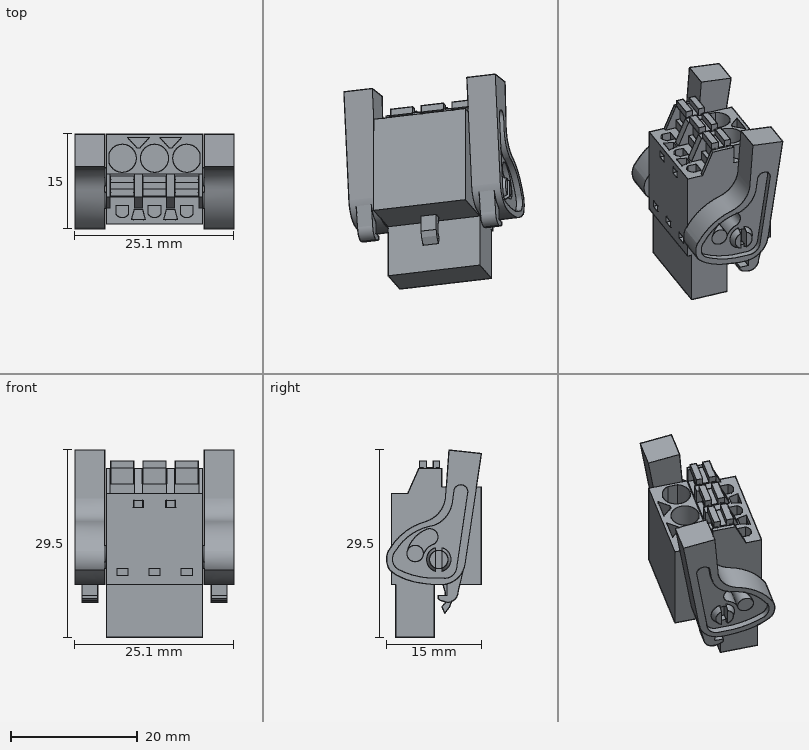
import cadquery as cq
import math


poles = 3
pitch = 5.08
overall_width = 25.05
housing_width = 15.17

housing_depth = 14.2
housing_bottom = 8.3
rear_top = 23.7
front_top = 22.67
ridge_top = 26.6
ridge_rear = 6.25
ridge_front = 9.9
ridge_foot = 11.63
plug_rear = 7.45
plug_front = 13.52

slot_width = 3.8
button_width = 3.65
slot_floor = 24.15
stem_rear = 7.15
stem_front = 9.18
button_rear = 6.58
button_front = 9.77
button_head_bottom = 26.7
button_top = 27.78
groove_rear = 7.62
groove_front = 8.65
groove_depth = 1.03

screw_hole_radius = 2.2
screw_hole_y = -3.8
screw_hole_wall = 0.45
screw_hole_depth = 8.85
triangle_rear = 0.55
triangle_tip = 2.15
triangle_half_width = 1.7
triangle_tip_half_width = 0.25
triangle_depth = 2.95
wire_half_width = 1.0
wire_rear = 11.22
wire_straight_end = 12.58
wire_front = 13.17
wire_depth = 8.85
port_rear = 11.9
port_front = 13.45
port_rear_half_width = 0.68
port_front_half_width = 1.1

port_window_width = 1.55
port_window_bottom = 20.45
port_window_top = 21.58
pole_window_width = 1.75
pole_window_bottom = 9.75
pole_window_top = 10.8
pole_window_depth = 1.0

lever_width = 4.72
recess_depth = 1.0
hook_width = 2.5
pivot_y = -6.73
pivot_z = 12.25
pivot_radius = 1.45
pivot_head_radius = 1.92
pivot_slot_width = 1.0
pivot_slot_depth = 2.0
peg_y = -10.45
peg_z = 13.2
peg_radius = 1.3
swivel_angle = 54.0
latch_width = 2.5

half_housing = housing_width / 2
lever_outer = overall_width / 2
lever_inner = lever_outer - lever_width
recess_floor = lever_outer - recess_depth
lever_middle = (lever_outer + lever_inner) / 2
pole_places = [(i - (poles - 1) / 2) * pitch for i in range(poles)]
gap_places = [(i - (poles - 2) / 2) * pitch for i in range(poles - 1)]


def box(x_range, y_range, z_range):
    """Block between the given limits."""
    x0, x1 = x_range
    y0, y1 = y_range
    z0, z1 = z_range
    return cq.Workplane("XY").box(x1 - x0, y1 - y0, z1 - z0, centered=False).translate((x0, y0, z0))


def centred_box(x, width, rear, front, bottom, top):
    """Block centred on x, between two depths from the rear face."""
    return box((x - width / 2, x + width / 2), (-front, -rear), (bottom, top))


def side_plane(x):
    """Sketch plane across X whose sketch axes are Y and Z."""
    return cq.Workplane("YZ", origin=(x, 0, 0))


def mirrored(shape):
    return shape.mirror("YZ")



def housing_block():
    profile = [
        (0, housing_bottom),
        (0, rear_top),
        (-ridge_rear, rear_top),
        (-ridge_rear, ridge_top),
        (-ridge_front, ridge_top),
        (-ridge_foot, front_top),
        (-housing_depth, front_top),
        (-housing_depth, housing_bottom),
        (-plug_front, housing_bottom),
        (-plug_front, 0),
        (-plug_rear, 0),
        (-plug_rear, housing_bottom),
    ]
    return side_plane(-half_housing).polyline(profile).close().extrude(housing_width)


def button_slot(x):
    """Notch across the raised ridge, with a step down to the front deck before it."""
    across_ridge = centred_box(x, slot_width, ridge_rear, ridge_front, slot_floor, ridge_top)
    before_ridge = centred_box(x, slot_width, ridge_front, ridge_foot, front_top, ridge_top)
    return across_ridge.union(before_ridge)


def screw_hole(x):
    """Round well, cut flat where it would come too close to the housing side."""
    bottom = rear_top - screw_hole_depth
    well = (
        cq.Workplane("XY", origin=(x, screw_hole_y, bottom))
        .circle(screw_hole_radius)
        .extrude(screw_hole_depth)
    )
    inside_width = housing_width - 2 * screw_hole_wall
    return well.intersect(centred_box(0, inside_width, 0, ridge_rear, bottom, rear_top))


def triangle_pocket(x):
    return (
        cq.Workplane("XY", origin=(x, 0, rear_top - triangle_depth))
        .moveTo(-triangle_half_width, -triangle_rear)
        .lineTo(triangle_half_width, -triangle_rear)
        .lineTo(triangle_tip_half_width, -triangle_tip)
        .lineTo(-triangle_tip_half_width, -triangle_tip)
        .close()
        .extrude(triangle_depth)
    )


def wire_opening(x):
    """Wire entry with a straight rear and a rounded front."""
    return (
        cq.Workplane("XY", origin=(x, 0, front_top - wire_depth))
        .moveTo(-wire_half_width, -wire_straight_end)
        .lineTo(-wire_half_width, -wire_rear)
        .lineTo(wire_half_width, -wire_rear)
        .lineTo(wire_half_width, -wire_straight_end)
        .threePointArc((0, -wire_front), (-wire_half_width, -wire_straight_end))
        .close()
        .extrude(wire_depth)
    )


def test_port(x):
    """Tapered well and the front window that opens into its lower end."""
    well = (
        cq.Workplane("XY", origin=(x, 0, port_window_bottom))
        .moveTo(-port_rear_half_width, -port_rear)
        .lineTo(port_rear_half_width, -port_rear)
        .lineTo(port_front_half_width, -port_front)
        .lineTo(-port_front_half_width, -port_front)
        .close()
        .extrude(front_top - port_window_bottom)
    )
    window = centred_box(
        x, port_window_width, port_front, housing_depth, port_window_bottom, port_window_top
    )
    return well.union(window)


def pole_window(x):
    rear = housing_depth - pole_window_depth
    return centred_box(x, pole_window_width, rear, housing_depth, pole_window_bottom, pole_window_top)


def pivot():
    """Slotted snap pivot on the -X side; its conical head ends flush with the lever."""
    shaft = (
        side_plane(-recess_floor)
        .center(pivot_y, pivot_z)
        .circle(pivot_radius)
        .extrude(recess_floor - half_housing)
    )
    head = (
        side_plane(-lever_outer)
        .center(pivot_y, pivot_z)
        .circle(pivot_radius)
        .workplane(offset=recess_depth)
        .circle(pivot_head_radius)
        .loft()
    )
    slot = box(
        (-lever_outer, -lever_outer + pivot_slot_depth),
        (pivot_y - pivot_slot_width / 2, pivot_y + pivot_slot_width / 2),
        (pivot_z - pivot_head_radius, pivot_z + pivot_head_radius),
    )
    return shaft.union(head).cut(slot)


def stop_peg():
    """Peg on the -X side that ends flush with the floor of the lever recess."""
    return (
        side_plane(-recess_floor)
        .center(peg_y, peg_z)
        .circle(peg_radius)
        .extrude(recess_floor - half_housing)
    )


def latch():
    """Snap hook that hangs from the housing behind the plug."""
    profile = [
        (-4.65, housing_bottom),
        (-4.65, 5.75),
        (-5.02, 4.78),
        (-5.8, 3.78),
        (-6.25, 4.8),
        (-5.73, 5.4),
        (-5.73, 7.08),
        (-6.08, housing_bottom),
    ]
    return side_plane(-latch_width / 2).polyline(profile).close().extrude(latch_width)


def make_housing():
    body = housing_block().union(latch())
    for x in pole_places:
        for opening in (button_slot, screw_hole, wire_opening, pole_window):
            body = body.cut(opening(x))
    for x in gap_places:
        body = body.cut(triangle_pocket(x)).cut(test_port(x))
    for mount in (pivot(), stop_peg()):
        body = body.union(mount).union(mirrored(mount))
    return body



def make_button(x):
    """T-shaped button with a groove across its head."""
    stem = centred_box(x, button_width, stem_rear, stem_front, slot_floor, button_head_bottom)
    head = centred_box(x, button_width, button_rear, button_front, button_head_bottom, button_top)
    groove = centred_box(
        x, button_width, groove_rear, groove_front, button_top - groove_depth, button_top
    )
    return stem.union(head).cut(groove)



def lever_plate():
    """Tapered handle that flares into a rounded cam."""
    return (
        side_plane(-lever_outer)
        .moveTo(0, 28.95)
        .lineTo(-5.15, 29.52)
        .lineTo(-5.7, 21.8)
        .threePointArc((-6.75, 19.55), (-8.77, 18.25))
        .threePointArc((-11.75, 16.83), (-14.32, 14.15))
        .lineTo(-14.7, 13.58)
        .threePointArc((-14.97, 12.3), (-14.5, 10.63))
        .spline([(-13.43, 9.83), (-10.5, 8.7), (-7.25, housing_bottom)], includeCurrent=True)
        .lineTo(-6.25, housing_bottom)
        .threePointArc((-3.65, 9.42), (-2.6, 11.48))
        .close()
        .extrude(lever_width)
    )


def lever_recess():
    """Shallow pocket in the outer face that follows the lever outline."""
    return (
        side_plane(-lever_outer)
        .moveTo(-2.15, 22.9)
        .threePointArc((-3.28, 24.03), (-4.37, 22.9))
        .lineTo(-4.6, 21.15)
        .threePointArc((-5.58, 19.0), (-7.47, 17.62))
        .threePointArc((-10.85, 16.35), (-13.5, 13.67))
        .threePointArc((-14.02, 12.2), (-13.22, 10.75))
        .threePointArc((-10.85, 9.8), (-8.25, 9.33))
        .lineTo(-5.9, 9.3)
        .threePointArc((-4.5, 9.8), (-3.93, 10.8))
        .close()
        .extrude(recess_depth)
    )


def lever_hook():
    """Locking hook below the cam, in the middle of the lever width."""
    return (
        side_plane(-lever_middle - hook_width / 2)
        .moveTo(-2.83, 10.8)
        .lineTo(-3.65, 7.2)
        .threePointArc((-4.35, 5.85), (-5.35, 5.5))
        .lineTo(-6.46, 5.8)
        .lineTo(-6.85, 6.08)
        .lineTo(-6.85, 6.58)
        .lineTo(-5.45, 6.58)
        .lineTo(-5.45, 10.8)
        .close()
        .extrude(hook_width)
    )


def peg_slot():
    """Curved slot about the pivot, from the stop peg through the swivel angle."""
    track_radius = math.hypot(peg_y - pivot_y, peg_z - pivot_z)
    start = math.atan2(peg_z - pivot_z, peg_y - pivot_y)
    turn = math.radians(swivel_angle)

    def place(radius, angle):
        return (pivot_y + radius * math.cos(angle), pivot_z + radius * math.sin(angle))

    outer = track_radius + peg_radius
    inner = track_radius - peg_radius
    end = start - turn
    middle = start - turn / 2
    end_bulge = peg_radius / track_radius
    sector = (
        side_plane(-lever_outer)
        .moveTo(*place(outer, start))
        .threePointArc(place(outer, middle), place(outer, end))
        .threePointArc(place(track_radius, end - end_bulge), place(inner, end))
        .threePointArc(place(inner, middle), place(inner, start))
        .close()
        .extrude(lever_width)
    )
    start_round = (
        side_plane(-lever_outer).center(peg_y, peg_z).circle(peg_radius).extrude(lever_width)
    )
    return sector.union(start_round)


def make_lever(side):
    """Lever on the -X side (side = -1) or its mirror image on the +X side (side = 1)."""
    pivot_bore = (
        side_plane(-lever_outer).center(pivot_y, pivot_z).circle(pivot_radius).extrude(lever_width)
    )
    lever = lever_plate().union(lever_hook()).cut(lever_recess()).cut(pivot_bore).cut(peg_slot())
    return mirrored(lever) if side > 0 else lever


housing = make_housing()
buttons = [make_button(x) for x in pole_places]
levers = [make_lever(side) for side in (-1, 1)]

result = cq.Compound.makeCompound(
    [housing.val()] + [button.val() for button in buttons] + [lever.val() for lever in levers]
)